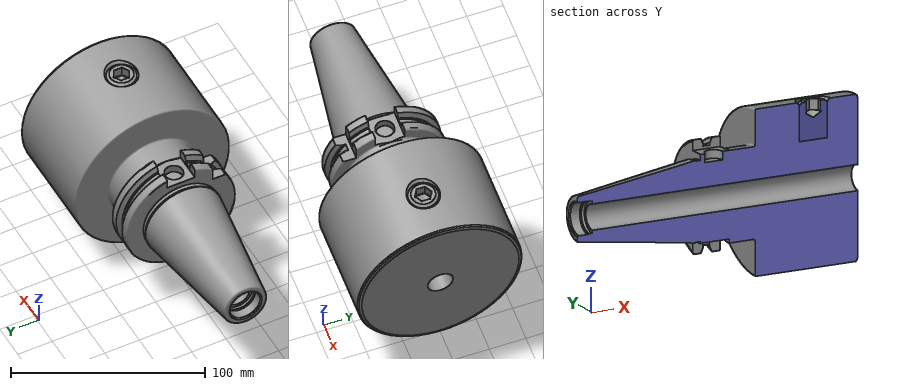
import cadquery as cq
import math


gauge_dia = 44.45
taper_ratio = 7 / 24
shank_length = 68.4
tip_x = -shank_length
tip_round = 1.0
relief_dia = 43.8
relief_step = 1.0

flange_start = 3.2
flange_end = 19.1
flange_dia = 63.55
flange_round = 1.0
groove_center = 11.1
groove_floor_dia = 55.6
groove_floor_width = 3.9
groove_mouth_width = 6.5
groove_wall_depth = 1.2

slot_width = 16.1
top_slot_floor = 25.0
bottom_slot_floor = 22.8
notch_offset = 18.5

pocket_dia = 10.0
pocket_depth = 4.6

neck_dia = 50.0
neck_fillet = 1.0
head_start = 35.0
head_end = 95.0
head_dia = 90.0
head_back_round = 1.0
rim_bevel_length = 0.8
rim_bevel_height = 0.6
face_bevel_length = 0.5
face_bevel_height = 1.4

mouth_dia = 19.0
counterbore_dia = 17.6
counterbore_depth = 6.1
pilot_dia = 17.0
pilot_cone_length = 0.8
pilot_depth = 8.7
bore_dia = 13.84

screw_x = 69.1
screw_dia = 16.0
screw_top_z = 44.6
screw_bottom_z = 24.0
screw_face_dia = 12.8
countersink_dia = 19.1
countersink_depth = (countersink_dia - screw_dia) / 2
countersink_floor_z = head_dia / 2 - countersink_depth
hex_across_flats = 8.0
hex_corner_dia = hex_across_flats / math.cos(math.pi / 6)
hex_depth = 6.0
socket_cone_angle = 120.0

ROUND_INSET = 1 - math.sqrt(0.5)


def taper_radius(x):
    """Radius of the taper at a place along the axis."""
    return (gauge_dia + taper_ratio * x) / 2


def revolve_about_x(outline):
    """Full turn of a closed outline about the holder axis."""
    return outline.revolve(360, (0, 0, 0), (1, 0, 0))


def revolve_about_z(outline):
    """Full turn of a closed XZ outline about Z, moved to the clamping screw."""
    return outline.revolve(360, (0, 0, 0), (0, 1, 0)).translate((screw_x, 0, 0))


def box_between(corner_a, corner_b):
    """Box from its lowest corner to its highest corner."""
    size = [b - a for a, b in zip(corner_a, corner_b)]
    return cq.Workplane("XY").box(*size, centered=False).translate(corner_a)



def make_shank():
    """Taper with a rounded tip, and the relief between taper and flange."""
    round_end_x = tip_x + tip_round
    round_end_radius = taper_radius(round_end_x)
    inset = tip_round * ROUND_INSET
    relief_radius = relief_dia / 2
    outline = (
        cq.Workplane("XY")
        .moveTo(tip_x, 0)
        .lineTo(tip_x, round_end_radius - tip_round)
        .threePointArc((tip_x + inset, round_end_radius - inset), (round_end_x, round_end_radius))
        .lineTo(0, gauge_dia / 2)
        .lineTo(relief_step, relief_radius)
        .lineTo(flange_start, relief_radius)
        .lineTo(flange_start, 0)
        .close()
    )
    return revolve_about_x(outline)


def make_flange():
    """Flange disc with rounded rims and a gripper groove around it."""
    width = flange_end - flange_start
    disc = cq.Workplane("YZ", origin=(flange_start, 0, 0)).circle(flange_dia / 2).extrude(width)
    disc = disc.edges("%CIRCLE").fillet(flange_round)

    rim_radius = flange_dia / 2
    floor_radius = groove_floor_dia / 2
    wall_radius = floor_radius + groove_wall_depth
    half_floor = groove_floor_width / 2
    half_mouth = groove_mouth_width / 2
    groove = (
        cq.Workplane("XY")
        .moveTo(groove_center - half_mouth, rim_radius)
        .lineTo(groove_center - half_floor, wall_radius)
        .lineTo(groove_center - half_floor, floor_radius)
        .lineTo(groove_center + half_floor, floor_radius)
        .lineTo(groove_center + half_floor, wall_radius)
        .lineTo(groove_center + half_mouth, rim_radius)
        .close()
    )
    return disc.cut(revolve_about_x(groove))


def make_neck():
    """Neck cylinder that flares with a fillet into the flange and the head."""
    neck_radius = neck_dia / 2
    inset = neck_fillet * ROUND_INSET
    outline = (
        cq.Workplane("XY")
        .moveTo(flange_end, 0)
        .lineTo(flange_end, neck_radius + neck_fillet)
        .threePointArc((flange_end + inset, neck_radius + inset), (flange_end + neck_fillet, neck_radius))
        .lineTo(head_start - neck_fillet, neck_radius)
        .threePointArc((head_start - inset, neck_radius + inset), (head_start, neck_radius + neck_fillet))
        .lineTo(head_start, 0)
        .close()
    )
    return revolve_about_x(outline)


def make_head():
    """Head cylinder, rounded at the back and with a double bevel at the front."""
    head_length = head_end - head_start
    head = cq.Workplane("YZ", origin=(head_start, 0, 0)).circle(head_dia / 2).extrude(head_length)
    head_radius = head_dia / 2
    bevel_corner_x = head_end - face_bevel_length
    bevel_corner_radius = head_radius - rim_bevel_height
    front_bevels = (
        cq.Workplane("XY")
        .moveTo(bevel_corner_x - rim_bevel_length, head_radius)
        .lineTo(bevel_corner_x, bevel_corner_radius)
        .lineTo(head_end, bevel_corner_radius - face_bevel_height)
        .lineTo(head_end, head_radius)
        .close()
    )
    head = head.cut(revolve_about_x(front_bevels))
    return head.faces("<X").edges().fillet(head_back_round)


def make_bore():
    """Stepped bore from the shank tip, running through the whole holder."""
    mouth_chamfer = (mouth_dia - counterbore_dia) / 2
    pilot_start = tip_x + counterbore_depth + pilot_cone_length
    outline = (
        cq.Workplane("XY")
        .moveTo(tip_x, 0)
        .lineTo(tip_x, mouth_dia / 2)
        .lineTo(tip_x + mouth_chamfer, counterbore_dia / 2)
        .lineTo(tip_x + counterbore_depth, counterbore_dia / 2)
        .lineTo(pilot_start, pilot_dia / 2)
        .lineTo(tip_x + pilot_depth, pilot_dia / 2)
        .lineTo(tip_x + pilot_depth, bore_dia / 2)
        .lineTo(head_end, bore_dia / 2)
        .lineTo(head_end, 0)
        .close()
    )
    return revolve_about_x(outline)


def make_drive_slots():
    """Slots through the flange, above and below the axis, clearing the neck fillet too."""
    half_width = slot_width / 2
    rim = flange_dia / 2
    cut_end = flange_end + neck_fillet
    top_slot = box_between((flange_start, -half_width, top_slot_floor), (cut_end, half_width, rim))
    bottom_slot = box_between((flange_start, -half_width, -rim), (cut_end, half_width, -bottom_slot_floor))
    return top_slot.union(bottom_slot)


def make_orientation_notch():
    """Square-cornered notch in the upper -Y quarter of the flange."""
    rim = flange_dia / 2
    return box_between((flange_start, -rim, notch_offset), (flange_end, -notch_offset, rim))


def make_slot_pocket():
    """Blind round pocket in the middle of the top slot floor."""
    floor_center = (groove_center, 0, top_slot_floor - pocket_depth)
    return cq.Workplane("XY", origin=floor_center).circle(pocket_dia / 2).extrude(pocket_depth)


def make_screw_hole():
    """Blind hole for the clamping screw, opening in a 90 degree countersink."""
    outline = (
        cq.Workplane("XZ")
        .moveTo(0, screw_bottom_z)
        .lineTo(screw_dia / 2, screw_bottom_z)
        .lineTo(screw_dia / 2, countersink_floor_z)
        .lineTo(countersink_dia / 2, head_dia / 2)
        .lineTo(0, head_dia / 2)
        .close()
    )
    return revolve_about_z(outline)


def make_holder():
    blank = make_shank().union(make_flange()).union(make_neck()).union(make_head())
    return (
        blank.cut(make_bore())
        .cut(make_drive_slots())
        .cut(make_orientation_notch())
        .cut(make_slot_pocket())
        .cut(make_screw_hole())
    )



def make_screw():
    """Grub screw whose bevelled top starts at the foot of the countersink, with a hex socket."""
    outline = (
        cq.Workplane("XZ")
        .moveTo(0, screw_bottom_z)
        .lineTo(screw_dia / 2, screw_bottom_z)
        .lineTo(screw_dia / 2, countersink_floor_z)
        .lineTo(screw_face_dia / 2, screw_top_z)
        .lineTo(0, screw_top_z)
        .close()
    )
    socket_floor_z = screw_top_z - hex_depth
    socket = (
        cq.Workplane("XY", origin=(screw_x, 0, socket_floor_z))
        .transformed(rotate=(0, 0, 90))
        .polygon(6, hex_corner_dia)
        .extrude(hex_depth)
    )
    cone_radius = hex_corner_dia / 2
    cone_height = cone_radius / math.tan(math.radians(socket_cone_angle / 2))
    cone_base = cq.Vector(screw_x, 0, socket_floor_z)
    socket_cone = cq.Solid.makeCone(cone_radius, 0, cone_height, cone_base, cq.Vector(0, 0, -1))
    return revolve_about_z(outline).cut(socket).cut(cq.Workplane(socket_cone))


holder = make_holder()
clamping_screw = make_screw()
result = cq.Compound.makeCompound([holder.solids().val(), clamping_screw.solids().val()])